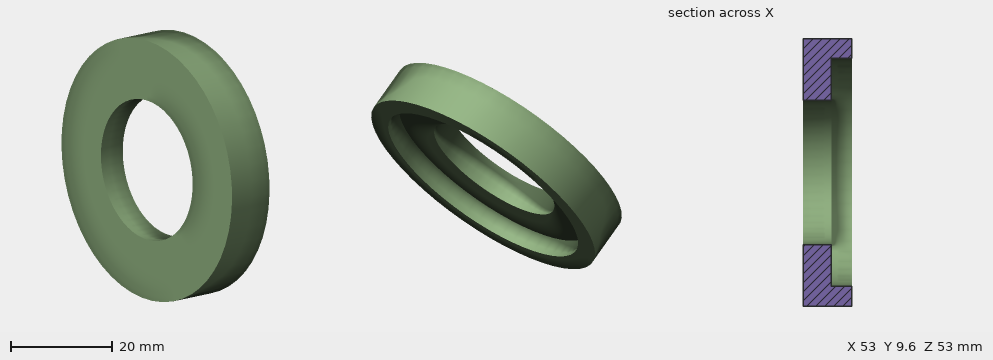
import cadquery as cq

outer_diameter = 53.0
bore_diameter = 28.5
thickness = 9.6

recess_depth = 4.0
rim_thickness = recess_depth
recess_diameter = outer_diameter - 2 * rim_thickness

front_y = -thickness / 2
back_y = thickness / 2


def cylinder_along_y(diameter, start_y, end_y):
    """Cylinder on the Y axis between two Y positions."""
    axis = cq.Vector(0, 1, 0)
    start = cq.Vector(0, start_y, 0)
    return cq.Workplane(cq.Solid.makeCylinder(diameter / 2, end_y - start_y, start, axis))


def make_ring():
    """Disc with a through bore and a concentric recess in the back face."""
    disc = cylinder_along_y(outer_diameter, front_y, back_y)
    bore = cylinder_along_y(bore_diameter, front_y, back_y)
    recess = cylinder_along_y(recess_diameter, back_y - recess_depth, back_y)
    return disc.cut(bore).cut(recess)


result = make_ring()